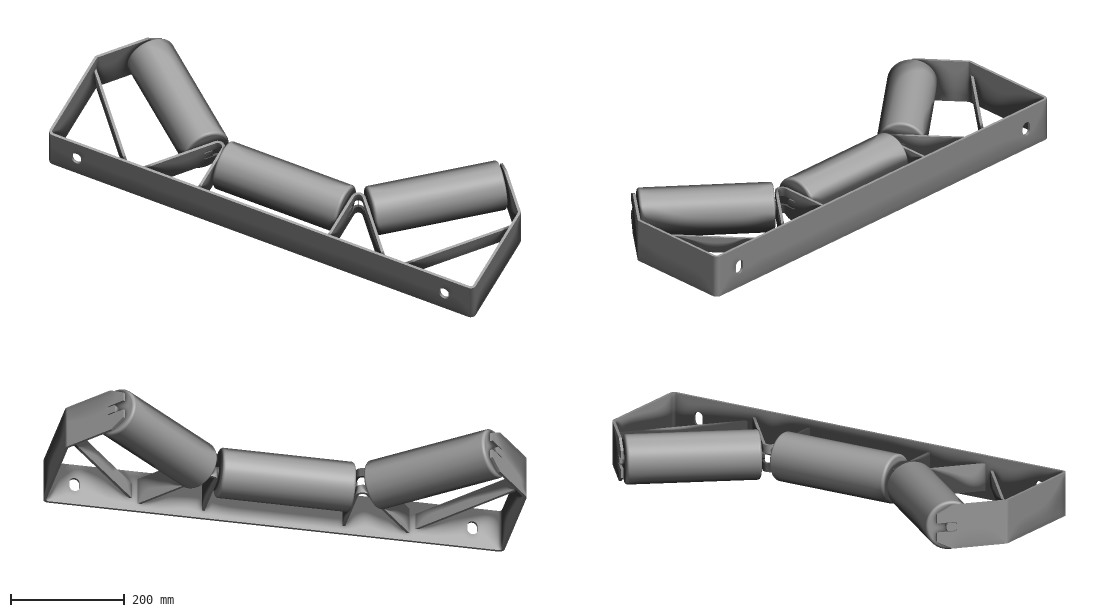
import math

import cadquery as cq

FRAME_WIDTH = 830.0
STRIP = 5.0
FRAME_HEIGHT = 80.0
SUPPORT_HEIGHT = 50.0
BRACE_HEIGHT = 30.0
FRAME_BEND_RADIUS = 10.0
SUPPORT_BEND_RADIUS = 13.0

ROLLER_DIAMETER = 89.0
ROLLER_LENGTH = 240.0
ROLLER_FILLET = 5.0
SHAFT_DIAMETER = 20.0
SHAFT_END_DEPTH = 18.0
SHAFT_END_HEIGHT = 14.0
SEAT_GAP = 4.0
SEAT_WIDTH = 18.0
SEAT_CORNER_RADIUS = 4.5

MIDDLE_ROLLER_Y = 98.5
SIDE_ROLLER_X = 251.0
SIDE_ROLLER_Y = 190.3
TILT = 40.0

ARM_BEYOND_AXIS = 27.4
TIP_CHAMFER_LENGTH = 29.0
TIP_CHAMFER_HEIGHT = 15.0

BRACE_FOOT_X = 255.0
MOUNT_SLOT_X = 358.0
MOUNT_SLOT_LENGTH = 26.0
MOUNT_SLOT_WIDTH = 18.0

HALF_WIDTH = FRAME_WIDTH / 2
WALL_X = HALF_WIDTH - STRIP
SEAT_IN = ROLLER_LENGTH / 2 + SEAT_GAP
SEAT_OUT = SEAT_IN + STRIP
COS = math.cos(math.radians(TILT))
SIN = math.sin(math.radians(TILT))
TAN = math.tan(math.radians(TILT))


def tilted_point(along, across):
    x = SIDE_ROLLER_X + along * COS - across * SIN
    y = SIDE_ROLLER_Y + along * SIN + across * COS
    return (x, y)


def tilted_point_at_x(along, x):
    return tilted_point(along, (SIDE_ROLLER_X + along * COS - x) / SIN)


def tilted_point_at_y(along, y):
    return tilted_point(along, (y - SIDE_ROLLER_Y - along * SIN) / COS)


def mirrored(point):
    return (-point[0], point[1])


def to_middle(body):
    """Move a body made about the origin to the middle roller's place."""
    return body.translate((0, MIDDLE_ROLLER_Y, 0))


def to_side(body, side):
    """Tilt and move a body made about the origin to the right (1) or left (-1) roller's place."""
    tilted = body.rotate((0, 0, 0), (0, 0, 1), side * TILT)
    return tilted.translate((side * SIDE_ROLLER_X, SIDE_ROLLER_Y, 0))


def make_plate(outline, height):
    """Flat outline in XY, thickened to both sides of Z = 0."""
    return cq.Workplane("XY").polyline(outline).close().extrude(height / 2, both=True)


def round_edge(plate, point, radius):
    """Round the Z edge that passes through a point of the outline."""
    x, y = point
    near_point = cq.selectors.BoxSelector((x - 1, y - 1, -1), (x + 1, y + 1, 1))
    return plate.edges("|Z").edges(near_point).fillet(radius)


def round_bend(plate, inner, outer, outer_radius):
    plate = round_edge(plate, inner, outer_radius - STRIP)
    return round_edge(plate, outer, outer_radius)


def make_roller():
    """Roller and its shaft along X, centred on the origin."""
    half_length = ROLLER_LENGTH / 2
    radius = ROLLER_DIAMETER / 2
    outline = [(-half_length, 0), (-half_length, radius), (half_length, radius), (half_length, 0)]
    drum = cq.Workplane("XZ").polyline(outline).close().revolve(360, (0, 0), (1, 0))
    drum = drum.faces("<X or >X").edges().fillet(ROLLER_FILLET)

    neck = cq.Workplane("YZ").circle(SHAFT_DIAMETER / 2).extrude(SEAT_IN, both=True)
    flats = cq.Workplane("XY").box(2 * SEAT_OUT, SHAFT_END_DEPTH, SHAFT_END_HEIGHT)
    ends = cq.Workplane("YZ").circle(SHAFT_DIAMETER / 2).extrude(SEAT_OUT, both=True).intersect(flats)
    return drum.union(neck).union(ends)


def make_seat_cutter():
    """Bar along X that cuts the seats of both shaft ends, open upward (+Y)."""
    bottom = -SHAFT_END_DEPTH / 2
    length = ARM_BEYOND_AXIS - bottom + STRIP
    bar = cq.Workplane("XY").box(2 * (SEAT_OUT + STRIP), length, SEAT_WIDTH)
    bar = bar.edges("|X and <Y").fillet(SEAT_CORNER_RADIUS)
    return bar.translate((0, bottom + length / 2, 0))


def make_tip_cutter():
    """Wedges along X that chamfer the two corners of an arm tip."""
    half_height = FRAME_HEIGHT / 2
    wedge = (
        cq.Workplane("YZ")
        .moveTo(ARM_BEYOND_AXIS - TIP_CHAMFER_LENGTH, half_height)
        .lineTo(ARM_BEYOND_AXIS, half_height - TIP_CHAMFER_HEIGHT)
        .lineTo(ARM_BEYOND_AXIS, half_height)
        .close()
        .extrude(SEAT_OUT + STRIP, both=True)
    )
    return wedge.union(wedge.mirror("XY"))


def make_frame():
    """Bent strip: base, two side walls and two tilted arms that carry the side rollers."""
    corner_out = (HALF_WIDTH, 0)
    corner_in = (WALL_X, STRIP)
    shoulder_out = tilted_point_at_x(SEAT_OUT, HALF_WIDTH)
    shoulder_in = tilted_point_at_x(SEAT_IN, WALL_X)
    tip_out = tilted_point(SEAT_OUT, ARM_BEYOND_AXIS)
    tip_in = tilted_point(SEAT_IN, ARM_BEYOND_AXIS)
    right = [corner_out, shoulder_out, tip_out, tip_in, shoulder_in, corner_in]
    left = [mirrored(point) for point in reversed(right)]
    frame = make_plate(right + left, FRAME_HEIGHT)

    for inner, outer in ((corner_in, corner_out), (shoulder_in, shoulder_out)):
        frame = round_bend(frame, inner, outer, FRAME_BEND_RADIUS)
        frame = round_bend(frame, mirrored(inner), mirrored(outer), FRAME_BEND_RADIUS)

    for side in (1, -1):
        frame = frame.cut(to_side(make_tip_cutter(), side))
        frame = frame.cut(to_side(make_seat_cutter(), side))

    mount_slots = (
        cq.Workplane("XZ")
        .pushPoints([(MOUNT_SLOT_X, 0), (-MOUNT_SLOT_X, 0)])
        .slot2D(MOUNT_SLOT_LENGTH, MOUNT_SLOT_WIDTH, 90)
        .extrude(-STRIP)
    )
    return frame.cut(mount_slots)


def make_support():
    """Right-hand bent strip between the middle and side rollers, standing on the frame's base."""
    apex_out = tilted_point_at_x(-SEAT_IN, SEAT_IN)
    apex_in = tilted_point_at_x(-SEAT_OUT, SEAT_OUT)
    outline = [
        (SEAT_IN, STRIP),
        apex_out,
        tilted_point_at_y(-SEAT_IN, STRIP),
        tilted_point_at_y(-SEAT_OUT, STRIP),
        apex_in,
        (SEAT_OUT, STRIP),
    ]
    support = make_plate(outline, SUPPORT_HEIGHT)
    support = round_bend(support, apex_in, apex_out, SUPPORT_BEND_RADIUS)
    support = support.cut(to_middle(make_seat_cutter()))
    return support.cut(to_side(make_seat_cutter(), 1))


def make_brace():
    """Right-hand flat strip from the frame's base up to its side wall."""
    foot_width = STRIP / COS
    inner_rise = (WALL_X - BRACE_FOOT_X) / TAN
    outer_rise = (WALL_X - BRACE_FOOT_X - foot_width) / TAN
    outline = [
        (BRACE_FOOT_X, STRIP),
        (BRACE_FOOT_X + foot_width, STRIP),
        (WALL_X, STRIP + outer_rise),
        (WALL_X, STRIP + inner_rise),
    ]
    return make_plate(outline, BRACE_HEIGHT)


frame = make_frame()

roller = make_roller()
rollers = [to_middle(roller)]
for side in (1, -1):
    rollers.append(to_side(roller, side))

support = make_support()
supports = [support, support.mirror("YZ")]

brace = make_brace()
braces = [brace, brace.mirror("YZ")]

bodies = [frame, *rollers, *supports, *braces]
result = cq.Compound.makeCompound([body.val() for body in bodies])